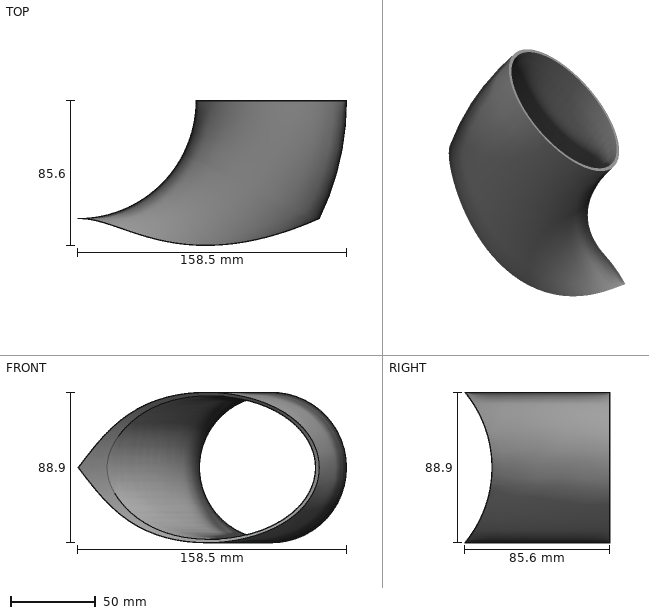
import cadquery as cq

overall_length = 158.5
elbow_diameter = 88.9
wall = 2.0
run_pipe_diameter = 139.8

elbow_radius = elbow_diameter / 2
bore_radius = elbow_radius - wall
bend_radius = overall_length - elbow_radius
bend_inside_radius = bend_radius - elbow_radius
bend_angle = 90
run_pipe_radius = run_pipe_diameter / 2


def make_elbow():
    """Ring section swept about the Z axis, from the flat end at Y = 0 towards -Y."""
    ring = cq.Workplane("XZ").center(bend_radius, 0).circle(elbow_radius).circle(bore_radius)
    axis_start = (-bend_radius, 0)
    axis_end = (-bend_radius, -1)
    return ring.revolve(bend_angle, axis_start, axis_end)


def make_run_pipe():
    """Cylinder along X, its crest level with the lowest point of the inside of the bend."""
    axis_y = -bend_inside_radius - run_pipe_radius
    pipe = cq.Workplane("ZY").center(0, axis_y).circle(run_pipe_radius)
    return pipe.extrude(overall_length, both=True)


result = make_elbow().cut(make_run_pipe())